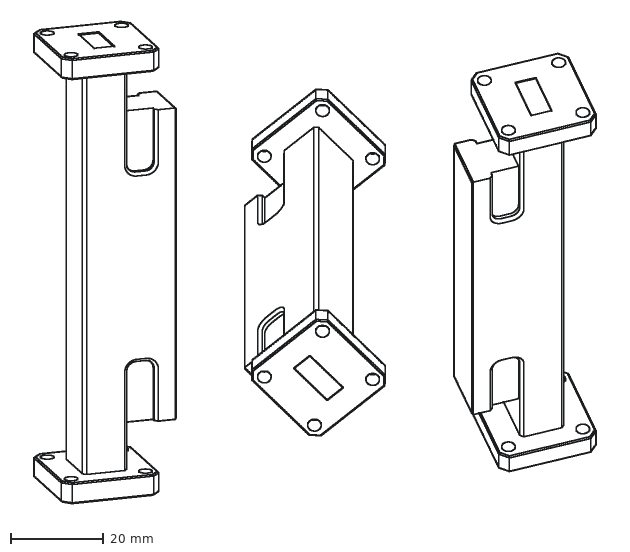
import cadquery as cq

length = 101.6
flange_size = 22.4
total_depth = 27.4

flange_thickness = 4.8
flange_corner = 1.8
flange_edge = 0.3
hole_diameter = 2.9
hole_pitch_x = 16.3
hole_pitch_y = 17.1

tube_width = 12.6
tube_depth = 10.2
tube_edge = 0.7

port_width = 10.8
port_depth = 4.7
port_recess = 0.3

block_length = 71.1
block_edge = 0.3

pocket_recess = 1.5
pocket_wall_y = 8.8
pocket_end_z = 21.6
pocket_corner = 2.0
rim_angle = 45.0

back_y = total_depth / 2
axis_y = -back_y + flange_size / 2
tube_back_y = axis_y + tube_depth / 2
flange_offset_z = (length - flange_thickness) / 2
side_x = tube_width / 2


def make_flange(end):
    """Drilled flange with cut corners; end is +1 for the top, -1 for the bottom."""
    plate = (
        cq.Workplane("XY")
        .box(flange_size, flange_size, flange_thickness)
        .edges("|Z")
        .chamfer(flange_corner)
        .faces("|Z")
        .edges()
        .chamfer(flange_edge)
    )
    holes = (
        cq.Workplane("XY")
        .rect(hole_pitch_x, hole_pitch_y, forConstruction=True)
        .vertices()
        .circle(hole_diameter / 2)
        .extrude(flange_thickness, both=True)
    )
    return plate.cut(holes).translate((0, axis_y, end * flange_offset_z))


def make_port(end):
    """Shallow rectangular recess in the outer face of one flange."""
    recess_z = end * (length - port_recess) / 2
    return cq.Workplane("XY").box(port_width, port_depth, port_recess).translate((0, axis_y, recess_z))


def make_tube():
    """Rectangular guide tube with bevelled long edges."""
    tube_length = length - flange_thickness
    tube = cq.Workplane("XY").box(tube_width, tube_depth, tube_length)
    return tube.edges("|Z").chamfer(tube_edge).translate((0, axis_y, 0))


def make_block():
    """Side block reaching from the tube axis to the back, bevelled around its back face."""
    block_depth = back_y - axis_y
    block = cq.Workplane("XY").box(tube_width, block_depth, block_length)
    block = block.faces(">Y").edges().chamfer(block_edge)
    return block.translate((0, axis_y + block_depth / 2, 0))


def make_pocket():
    """Cutter for the upper pocket on the +X side: straight wall, then a rim flaring at 45 degrees."""
    floor_x = side_x - pocket_recess
    half_width = (pocket_wall_y - tube_back_y) / 2
    middle_y = (pocket_wall_y + tube_back_y) / 2
    arc_z = pocket_end_z + pocket_corner
    open_z = length / 2

    def outline(plane_x):
        return (
            cq.Workplane("YZ", origin=(plane_x, middle_y, 0))
            .moveTo(-half_width, open_z)
            .lineTo(-half_width, arc_z)
            .radiusArc((pocket_corner - half_width, pocket_end_z), -pocket_corner)
            .lineTo(half_width - pocket_corner, pocket_end_z)
            .radiusArc((half_width, arc_z), -pocket_corner)
            .lineTo(half_width, open_z)
            .close()
        )

    wall = outline(floor_x).extrude(pocket_recess)
    rim = outline(side_x - tube_edge).extrude(tube_edge, taper=-rim_angle)
    return wall.union(rim)


result = make_tube().union(make_block())
pocket = make_pocket()
for pocket_side in (pocket, pocket.mirror("YZ")):
    result = result.cut(pocket_side).cut(pocket_side.mirror("XY"))
for end in (1, -1):
    result = result.union(make_flange(end)).cut(make_port(end))